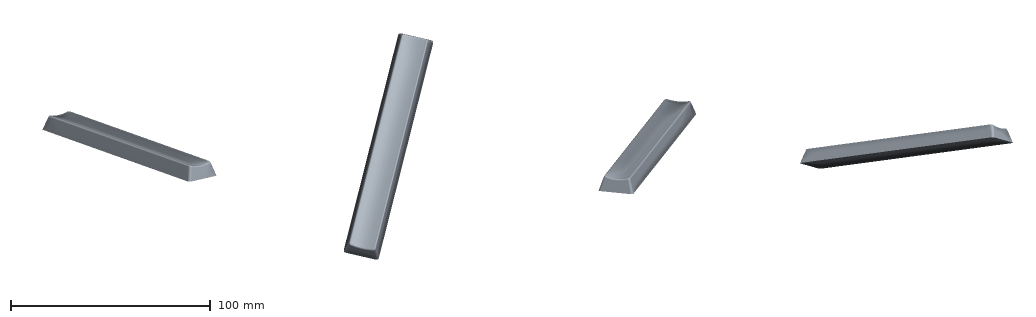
import cadquery as cq
import math

length = 118.0
width = 18.0
block_height = 7.5
wall_inset = 2.4
corner_radius = 1.3
dish_depth = 1.2
rim_radius = 0.7

top_width = width - 2 * wall_inset
draft_angle = math.degrees(math.atan2(wall_inset, block_height))
dish_radius = ((top_width / 2) ** 2 + dish_depth ** 2) / (2 * dish_depth)
dish_floor = block_height - dish_depth


def drafted_block():
    block = cq.Workplane("XY").rect(length, width).extrude(block_height, taper=draft_angle)
    return block.edges("not (|X or |Y)").fillet(corner_radius)


def dish_cutter():
    """Cylinder along X that touches the dish floor on the centre line."""
    circle = cq.Workplane("YZ").center(0, dish_floor + dish_radius).circle(dish_radius)
    return circle.extrude(length / 2, both=True)


def round_rim(dished_block):
    """Round every edge where the dish meets the walls and corners."""
    dish_face = cq.selectors.NearestToPointSelector((0, 0, dish_floor))
    return dished_block.faces(dish_face).edges().fillet(rim_radius)


result = round_rim(drafted_block().cut(dish_cutter()))